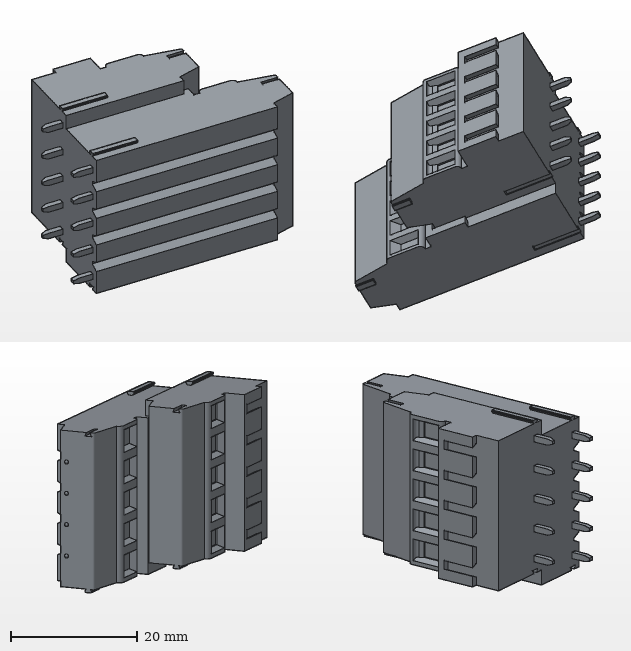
import cadquery as cq
import math


pole_count = 5
pitch = 5.08
stack_height = pole_count * pitch

shift_x = 10.2
shift_y = 11.4
shift_z = -pitch / 2

back_x = 12.6
shoulder_y = 21.1
head_base_back_x = 11.35
head_top_back_x = 10.25
head_top_front_x = 4.45
head_top_y = 25.1
head_corner_radius = 0.32
neck_x = 3.4
ledge_depth = 1.0
ledge_top_y = 11.05
low_ledge_x = 0.0
low_ledge_bottom_y = 4.35
tall_ledge_x = 11.6
tall_ledge_bottom_y = 15.48
bulge_bottom_y = 12.1
bulge_top_y = 18.8
low_bulge_radius = 0.75
tall_bulge_radius = 0.9

slot_top_y = 9.9
low_slot_height = 1.45
tall_slot_height = 1.8
slot_flare = 0.4

opening_bottom_y = 12.9
opening_top_y = 17.85
opening_height = 3.65
opening_inset = 0.52
opening_depth = 1.1
ramp_inset = 1.37
ramp_wall_depth = 0.45
ramp_start_depth = 0.85
ramp_start_inset = 0.55
recess_depth = 0.25

notch_mouth = 1.77
notch_floor = 0.4
notch_depth = 1.37

rail_x = 10.92
rail_width = 1.2
rail_neck = 0.6
rail_height = 0.6
rail_length = 8.05
rail_groove_width = 1.3
rail_groove_neck = 0.75
lug_x = 5.5
lug_width = 1.15
lug_neck = 0.8
lug_height = 0.55
lug_length = 3.02
low_lug_groove_mouth = 0.75
tall_lug_groove_mouth = 0.55
flare_share = 0.6
rail_chamfer = 0.12

pin_x = 11.05
pin_length = 3.45
pin_height = 1.05
pin_tip_height = 0.52
low_pin_width = 0.93
low_pin_tip_width = 0.5
low_pin_tip_length = 0.85
tall_pin_width = 0.85
tall_pin_tip_length = 1.0

dome_radius = 0.32
back_dome_x = 19.42
slope_dome_y = 24.05


def pole_centres(bottom_z):
    return [bottom_z + (i + 0.5) * pitch for i in range(pole_count)]


def pole_borders(bottom_z):
    return [bottom_z + i * pitch for i in range(1, pole_count)]


def bar_along_y(points, start_y, end_y):
    """Bar with an outline in X and Z, running from start_y to end_y."""
    plane = cq.Workplane("XZ", origin=(0, start_y, 0))
    return plane.polyline(points).close().extrude(start_y - end_y)


def flared_bar(centre_x, root_z, tip_z, neck, width, start_y, end_y):
    """Rail that leaves root_z with a narrow neck, flares out and has a chamfered tip at tip_z."""
    flare_z = root_z + flare_share * (tip_z - root_z)
    chamfer_z = tip_z - math.copysign(rail_chamfer, tip_z - root_z)
    left_side = [
        (-neck / 2, root_z),
        (-width / 2, flare_z),
        (-width / 2, chamfer_z),
        (-width / 2 + rail_chamfer, tip_z),
    ]
    right_side = [(-x, z) for x, z in reversed(left_side)]
    points = [(centre_x + x, z) for x, z in left_side + right_side]
    return bar_along_y(points, start_y, end_y)


def dovetail_bar(centre_x, mouth_z, floor_z, mouth, floor, start_y, end_y):
    """Cutter for a groove that widens from its mouth to its floor."""
    points = [
        (centre_x - mouth / 2, mouth_z),
        (centre_x - floor / 2, floor_z),
        (centre_x + floor / 2, floor_z),
        (centre_x + mouth / 2, mouth_z),
    ]
    return bar_along_y(points, start_y, end_y)


def housing_body(offset_x, offset_y, bottom_z, ledge_x, ledge_bottom_y, bulge_radius):
    """Solid housing: one outline, extruded over all the poles."""
    def at(x, y):
        return (offset_x + x, offset_y + y)

    bulge_x = neck_x - bulge_radius
    arc_reach = bulge_radius * math.sqrt(0.5)
    lower_centre_y = bulge_bottom_y + bulge_radius
    upper_centre_y = bulge_top_y - bulge_radius
    face_x = ledge_x + ledge_depth
    outline = (
        cq.Workplane("XY", origin=(0, 0, bottom_z))
        .moveTo(face_x, 0)
        .lineTo(face_x, ledge_bottom_y)
        .lineTo(ledge_x, ledge_bottom_y)
        .lineTo(ledge_x, offset_y + ledge_top_y)
        .lineTo(*at(neck_x, ledge_top_y))
        .lineTo(*at(neck_x, bulge_bottom_y))
        .threePointArc(at(neck_x - arc_reach, lower_centre_y - arc_reach), at(bulge_x, lower_centre_y))
        .lineTo(*at(bulge_x, upper_centre_y))
        .threePointArc(at(neck_x - arc_reach, upper_centre_y + arc_reach), at(neck_x, bulge_top_y))
        .lineTo(*at(head_top_front_x, head_top_y))
        .lineTo(*at(head_top_back_x, head_top_y))
        .lineTo(*at(head_base_back_x, shoulder_y))
        .lineTo(*at(back_x, shoulder_y))
        .lineTo(offset_x + back_x, 0)
        .close()
    )
    corner = cq.selectors.NearestToPointSelector(
        (*at(head_top_front_x, head_top_y), bottom_z + stack_height / 2)
    )
    return outline.extrude(stack_height).edges(corner).fillet(head_corner_radius)


def ledge_slots(offset_y, bottom_z, ledge_x, ledge_bottom_y, slot_height):
    """One slot per pole in the ledge, open at the ledge bottom and wider inside."""
    slots = cq.Workplane("XY")
    inner_x = ledge_x + ledge_depth
    for z in pole_centres(bottom_z):
        half = slot_height / 2
        points = [
            (ledge_x, z - half),
            (ledge_x, z + half),
            (inner_x, z + half + slot_flare),
            (inner_x, z - half - slot_flare),
        ]
        slots = slots.add(bar_along_y(points, ledge_bottom_y, offset_y + slot_top_y))
    return slots


def tapered_block(start_x, end_x, start_box, end_box):
    """Block along X between two rectangles, each given as (y_min, y_max, z_min, z_max)."""
    def corners(box):
        y_min, y_max, z_min, z_max = box
        return [(y_min, z_min), (y_max, z_min), (y_max, z_max), (y_min, z_max)]

    return (
        cq.Workplane("YZ", origin=(start_x, 0, 0))
        .polyline(corners(start_box)).close()
        .workplane(offset=end_x - start_x)
        .polyline(corners(end_box)).close()
        .loft(ruled=True)
    )


def opening_boxes(offset_y, z):
    """Mouth and floor rectangles of the wire opening centred at z."""
    bottom_y = offset_y + opening_bottom_y
    top_y = offset_y + opening_top_y
    half = opening_height / 2
    inner_half = half - opening_inset
    mouth = (bottom_y, top_y, z - half, z + half)
    floor = (bottom_y + opening_inset, top_y - ramp_inset, z - inner_half, z + inner_half)
    return mouth, floor


def tall_opening(bulge_x, z):
    """Cutter for a wire opening with four plane sides."""
    mouth, floor = opening_boxes(shift_y, z)
    return tapered_block(bulge_x, bulge_x + opening_depth, mouth, floor)


def low_opening(bulge_x, z):
    """Cutter for a wire opening with three sloped sides, a rounded ramp at +Y and a floor recess."""
    mouth, floor = opening_boxes(0, z)
    floor_x = bulge_x + opening_depth
    floor_bottom_y, ramp_end_y, floor_bottom_z, floor_top_z = floor
    sloped_floor = (floor_bottom_y, opening_top_y, floor_bottom_z, floor_top_z)
    sloped = tapered_block(bulge_x, floor_x, mouth, sloped_floor)

    wall_end = (bulge_x + ramp_wall_depth, opening_top_y)
    ramp_start = (bulge_x + ramp_start_depth, opening_top_y - ramp_start_inset)
    arc_run = ramp_start_depth - ramp_wall_depth
    arc_radius = (arc_run**2 + ramp_start_inset**2) / (2 * ramp_start_inset)
    half_turn = math.atan2(ramp_start_inset, arc_run)
    arc_middle = (
        wall_end[0] + arc_radius * math.sin(half_turn),
        wall_end[1] - arc_radius * (1 - math.cos(half_turn)),
    )
    ramp = (
        cq.Workplane("XY", origin=(0, 0, z - opening_height / 2))
        .moveTo(bulge_x, opening_bottom_y)
        .lineTo(bulge_x, opening_top_y)
        .lineTo(*wall_end)
        .threePointArc(arc_middle, ramp_start)
        .lineTo(floor_x, ramp_end_y)
        .lineTo(floor_x, opening_bottom_y)
        .close()
        .extrude(opening_height)
    )
    recess = tapered_block(floor_x, floor_x + recess_depth, floor, floor)
    return sloped.intersect(ramp).union(recess)


def solder_pin(x, z, width, tip_width, tip_length):
    """Rectangular pin along -Y with a tapered tip, starting at the housing bottom."""
    shank_length = pin_length - tip_length
    return (
        cq.Workplane("XZ", origin=(x, 0, z))
        .rect(width, pin_height)
        .extrude(shank_length)
        .faces("<Y").workplane()
        .rect(width, pin_height)
        .workplane(offset=tip_length)
        .rect(tip_width, pin_tip_height)
        .loft(ruled=True, combine=True)
    )


def side_joints(body, offset_x, offset_y, bottom_z, lug_groove_mouth):
    """Rail and lug groove on the +Z side, rail groove and lug on the -Z side."""
    top_z = bottom_z + stack_height
    centre_x = offset_x + rail_x
    lug_centre_x = offset_x + lug_x
    lug_end_y = offset_y + head_top_y
    lug_start_y = lug_end_y - lug_length
    rail = flared_bar(centre_x, top_z, top_z + rail_height, rail_neck, rail_width, 0, rail_length)
    lug = flared_bar(lug_centre_x, bottom_z, bottom_z - lug_height, lug_neck, lug_width,
                     lug_start_y, lug_end_y)
    rail_groove = dovetail_bar(centre_x, bottom_z, bottom_z + rail_height,
                               rail_groove_neck, rail_groove_width, 0, rail_length)
    lug_groove = dovetail_bar(lug_centre_x, top_z, top_z - rail_height,
                              lug_groove_mouth, lug_width, lug_start_y, lug_end_y)
    return body.cut(rail_groove).cut(lug_groove).union(rail).union(lug)


low = housing_body(0, 0, 0, low_ledge_x, low_ledge_bottom_y, low_bulge_radius)
for slot in ledge_slots(0, 0, low_ledge_x, low_ledge_bottom_y, low_slot_height).vals():
    low = low.cut(cq.Workplane(slot))
low_bulge_x = neck_x - low_bulge_radius
for z in pole_centres(0):
    low = low.cut(low_opening(low_bulge_x, z))
low = side_joints(low, 0, 0, 0, low_lug_groove_mouth)

tall = housing_body(shift_x, shift_y, shift_z, tall_ledge_x, tall_ledge_bottom_y, tall_bulge_radius)
for slot in ledge_slots(shift_y, shift_z, tall_ledge_x, tall_ledge_bottom_y, tall_slot_height).vals():
    tall = tall.cut(cq.Workplane(slot))
tall_bulge_x = shift_x + neck_x - tall_bulge_radius
for z in pole_centres(shift_z):
    tall = tall.cut(tall_opening(tall_bulge_x, z))
tall_back_x = shift_x + back_x
for z in pole_borders(shift_z):
    notch = [
        (tall_back_x, z - notch_mouth / 2),
        (tall_back_x - notch_depth, z - notch_floor / 2),
        (tall_back_x - notch_depth, z + notch_floor / 2),
        (tall_back_x, z + notch_mouth / 2),
    ]
    tall = tall.cut(bar_along_y(notch, 0, shift_y + shoulder_y))
tall = side_joints(tall, shift_x, shift_y, shift_z, tall_lug_groove_mouth)

result = low.union(tall)

slope_run = (head_base_back_x - head_top_back_x) / (head_top_y - shoulder_y)
slope_dome_x = head_top_back_x + slope_run * (head_top_y - slope_dome_y)
for z in pole_borders(0):
    result = result.union(cq.Workplane("XY", origin=(slope_dome_x, slope_dome_y, z)).sphere(dome_radius))
for z in pole_borders(shift_z):
    dome = cq.Workplane("XY", origin=(back_dome_x, shift_y + head_top_y, z)).sphere(dome_radius)
    result = result.union(dome)

for z in pole_centres(0):
    pin = solder_pin(pin_x, z, low_pin_width, low_pin_tip_width, low_pin_tip_length)
    result = result.union(pin)
for z in pole_centres(shift_z):
    pin = solder_pin(shift_x + pin_x, z, tall_pin_width, tall_pin_width, tall_pin_tip_length)
    result = result.union(pin)